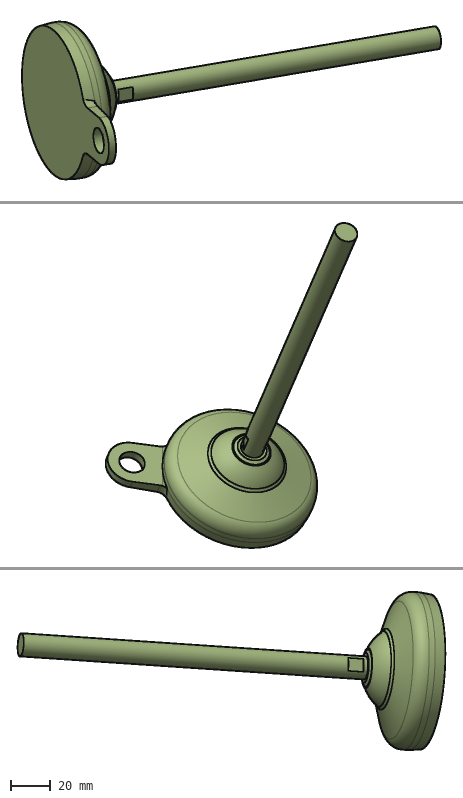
import cadquery as cq
import math

TOTAL_LENGTH = 211.5

FOOT_RADIUS = 40.0
BASE_RADIUS = 39.3
DRAFT_TOP = 5.7
SHOULDER_START = 8.9
SHOULDER_END = 15.9
SHOULDER_END_RADIUS = 35.0
CONE_TOP = 21.5
CONE_TOP_RADIUS = 20.5
RIM_TOP = 22.8

LUG_WIDTH = 25.2
LUG_REACH = 68.0
LUG_TIP_THICKNESS = 4.0
LUG_ROOT_FILLET = 6.0
LUG_HOLE_DIAMETER = 13.1

ROD_RADIUS = 6.0
BALL_RADIUS = 24.3
BALL_CENTER = 7.8
BALL_BASE = 10.5
COLLAR_RADIUS = 10.2
COLLAR_TOP_RADIUS = 7.6
COLLAR_EDGE = 30.2
COLLAR_TOP = 31.3
FLATS_WIDTH = 9.7
FLATS_BOTTOM = 33.5
FLATS_TOP = 41.5


def ball_radius_at(height):
    """Radius of the ball's circular section at a height along Y."""
    return math.sqrt(BALL_RADIUS**2 - (height - BALL_CENTER)**2)


def revolve_about_y(profile):
    return profile.close().revolve(360, (0, 0, 0), (0, 1, 0))


def ball_segment():
    """Ball between its flat base and the edge of the collar."""
    collar_edge_radius = ball_radius_at(COLLAR_EDGE)
    middle = (BALL_BASE + COLLAR_EDGE) / 2
    profile = (
        cq.Workplane("XY")
        .moveTo(0, BALL_BASE)
        .lineTo(ball_radius_at(BALL_BASE), BALL_BASE)
        .threePointArc((ball_radius_at(middle), middle), (collar_edge_radius, COLLAR_EDGE))
        .lineTo(0, COLLAR_EDGE)
    )
    return revolve_about_y(profile)


def foot_shell():
    """Round foot, solid up to the rim that surrounds the ball."""
    profile = (
        cq.Workplane("XY")
        .lineTo(BASE_RADIUS, 0)
        .lineTo(FOOT_RADIUS, DRAFT_TOP)
        .lineTo(FOOT_RADIUS, SHOULDER_START)
        .tangentArcPoint((SHOULDER_END_RADIUS, SHOULDER_END), relative=False)
        .lineTo(CONE_TOP_RADIUS, CONE_TOP)
        .lineTo(ball_radius_at(RIM_TOP), RIM_TOP)
        .lineTo(0, RIM_TOP)
    )
    return revolve_about_y(profile)


def lug():
    """Rounded lug along +X, flared into the foot, with a sloping upper face."""
    half_width = LUG_WIDTH / 2
    tip_center = LUG_REACH - half_width
    fillet_z = half_width + LUG_ROOT_FILLET
    fillet_distance = BASE_RADIUS + LUG_ROOT_FILLET
    fillet_x = math.sqrt(fillet_distance**2 - fillet_z**2)
    root_x = fillet_x * BASE_RADIUS / fillet_distance
    root_z = fillet_z * BASE_RADIUS / fillet_distance
    middle_angle = (math.atan2(fillet_z, fillet_x) + math.pi / 2) / 2
    middle_x = fillet_x - LUG_ROOT_FILLET * math.cos(middle_angle)
    middle_z = fillet_z - LUG_ROOT_FILLET * math.sin(middle_angle)

    outline = (
        cq.Workplane("XZ")
        .moveTo(0, -root_z)
        .lineTo(root_x, -root_z)
        .threePointArc((middle_x, -middle_z), (fillet_x, -half_width))
        .lineTo(tip_center, -half_width)
        .threePointArc((LUG_REACH, 0), (tip_center, half_width))
        .lineTo(fillet_x, half_width)
        .threePointArc((middle_x, middle_z), (root_x, root_z))
        .lineTo(0, root_z)
        .close()
        .extrude(-DRAFT_TOP)
    )
    side_wedge = (
        cq.Workplane("XY")
        .lineTo(LUG_REACH, 0)
        .lineTo(LUG_REACH, LUG_TIP_THICKNESS)
        .lineTo(FOOT_RADIUS, DRAFT_TOP)
        .lineTo(0, DRAFT_TOP)
        .close()
        .extrude(FOOT_RADIUS, both=True)
    )
    hole = (
        cq.Workplane("XZ")
        .center(tip_center, 0)
        .circle(LUG_HOLE_DIAMETER / 2)
        .extrude(-DRAFT_TOP)
    )
    return outline.intersect(side_wedge).cut(hole)


def make_foot():
    return foot_shell().union(lug()).cut(ball_segment())


def collar():
    """Thin conical collar between the ball and the rod."""
    profile = (
        cq.Workplane("XY")
        .moveTo(0, COLLAR_EDGE)
        .lineTo(COLLAR_RADIUS, COLLAR_EDGE)
        .lineTo(COLLAR_TOP_RADIUS, COLLAR_TOP)
        .lineTo(0, COLLAR_TOP)
    )
    return revolve_about_y(profile)


def rod():
    """Straight rod with two wrench flats facing +X and -X."""
    shaft = (
        cq.Workplane("XZ", origin=(0, COLLAR_EDGE, 0))
        .circle(ROD_RADIUS)
        .extrude(COLLAR_EDGE - TOTAL_LENGTH)
    )
    flats_height = FLATS_TOP - FLATS_BOTTOM
    flats_middle = (FLATS_TOP + FLATS_BOTTOM) / 2
    band = cq.Workplane("XY").box(3 * ROD_RADIUS, flats_height, 3 * ROD_RADIUS)
    core = cq.Workplane("XY").box(FLATS_WIDTH, flats_height, 3 * ROD_RADIUS)
    return shaft.cut(band.cut(core).translate((0, flats_middle, 0)))


def make_spindle():
    return ball_segment().union(collar()).union(rod())


foot = make_foot()
spindle = make_spindle()
result = cq.Compound.makeCompound([foot.val(), spindle.val()])